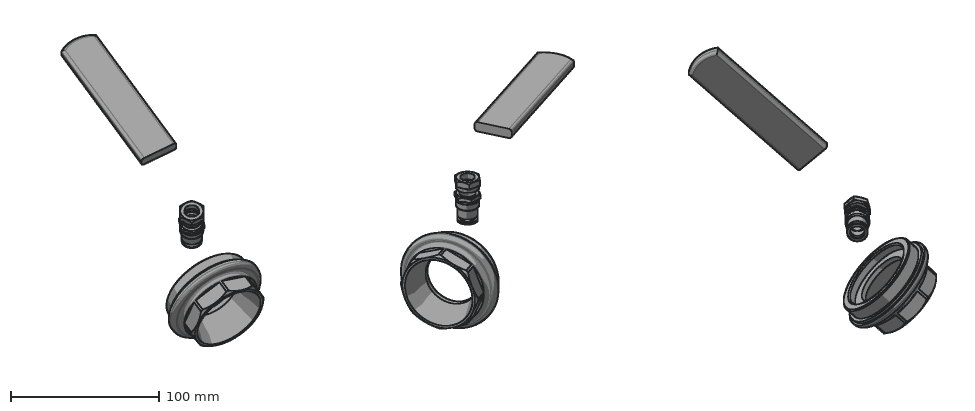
import cadquery as cq
import math


lever_left = -153.7
lever_length = 110.3
lever_width = 27.4
lever_thickness = 7.3
lever_top = 82.1
lever_nose_bulge = 4.3
lever_edge_radius = 2.2

stem_bore = 10.0
nut_across_flats = 16.0
nut_chamfer_diameter = 15.5
nut_top = 64.5
nut_bottom = 59.5

lock_washer_diameter = 16.0
lock_washer_bore = 11.0
lock_washer_bottom = 56.5
lock_washer_slit = 0.2

gland_bore = 11.4
gland_turn = 10
gland_top = 52.3
gland_hex_bottom = 49.3
gland_neck_diameter = 14.4
gland_thread_diameter = 16.0
gland_thread_top = 47.2
gland_thread_chamfer = 1.0
gland_bottom = 42.0

packing_diameter = 14.0
packing_bottom = 35.3

thrust_washer_diameter = 14.0
thrust_washer_top = 32.6
thrust_washer_bottom = 31.5

connector_left = 18.0
connector_right = connector_left + 31.0
flow_bore = 38.0
mouth_diameter = 49.7
mouth_land = 0.6
barrel_diameter = 62.5
barrel_chamfer = 0.8
shoulder_left = 27.2
shoulder_diameter = 67.5
flange_left = 29.0
flange_right = 33.9
flange_diameter = 71
flange_edge_radius = 3.0
neck_fillet = 3.0
octagon_corner_diameter = 57.0
octagon_left = 38.1
octagon_across_flats = 53.3
octagon_end_chamfer = 1.8

seat_diameter = 50.5
seat_mouth_chamfer = 1.0
seat_depth = 5.9
seat_thickness = 3.6


def disc(diameter, bottom, top):
    """Solid cylinder on the stem axis."""
    return cq.Workplane("XY").workplane(offset=bottom).circle(diameter / 2).extrude(top - bottom)


def ring(diameter, bore, bottom, top):
    """Plain ring on the stem axis."""
    return disc(diameter, bottom, top).cut(disc(bore, bottom, top))


def chamfered_hexagon(bottom, top, turn):
    """Hexagon on the stem axis whose top corners are cut by a 30 degree cone; a corner points to +Y."""
    corner_diameter = nut_across_flats / math.cos(math.pi / 6)
    corner_radius = corner_diameter / 2
    height = top - bottom
    hexagon = (
        cq.Workplane("XY").workplane(offset=bottom)
        .polygon(6, corner_diameter).extrude(height)
        .rotate((0, 0, 0), (0, 0, 1), 90 + turn)
    )
    cone_run = corner_radius - nut_chamfer_diameter / 2
    cone_drop = cone_run * math.tan(math.pi / 6)
    envelope = disc(corner_diameter, bottom, top).faces(">Z").chamfer(cone_drop, cone_run)
    return hexagon.intersect(envelope)


def make_lever():
    right = lever_left + lever_length
    nose_corner = lever_left + lever_nose_bulge
    half_width = lever_width / 2
    return (
        cq.Workplane("XY").workplane(offset=lever_top - lever_thickness)
        .moveTo(right, -half_width)
        .lineTo(right, half_width)
        .lineTo(nose_corner, half_width)
        .threePointArc((lever_left, 0), (nose_corner, -half_width))
        .close()
        .extrude(lever_thickness)
        .faces("<Z or >Z").edges("not >X")
        .fillet(lever_edge_radius)
    )


def make_lever_nut():
    hexagon = chamfered_hexagon(nut_bottom, nut_top, 0)
    return hexagon.cut(disc(stem_bore, nut_bottom, nut_top))


def make_lock_washer():
    washer = ring(lock_washer_diameter, lock_washer_bore, lock_washer_bottom, nut_bottom)
    slit_length = lock_washer_diameter
    slit = (
        cq.Workplane("XY").workplane(offset=lock_washer_bottom)
        .center(-slit_length / 2, 0)
        .rect(slit_length, lock_washer_slit)
        .extrude(nut_bottom - lock_washer_bottom)
    )
    return washer.cut(slit)


def make_gland_nut():
    head = chamfered_hexagon(gland_hex_bottom, gland_top, gland_turn)
    neck = disc(gland_neck_diameter, gland_thread_top, gland_hex_bottom)
    thread = disc(gland_thread_diameter, gland_bottom, gland_thread_top)
    thread = thread.faces("<Z").chamfer(gland_thread_chamfer)
    return head.union(neck).union(thread).cut(disc(gland_bore, gland_bottom, gland_top))


def make_packing():
    return ring(packing_diameter, stem_bore, packing_bottom, gland_bottom)


def make_thrust_washer():
    return ring(thrust_washer_diameter, stem_bore, thrust_washer_bottom, thrust_washer_top)


def flow_disc(diameter, left, right):
    """Solid cylinder on the flow axis."""
    return cq.Workplane("YZ").workplane(offset=left).circle(diameter / 2).extrude(right - left)


def octagon_flats():
    """Material to remove so that the round end of the connector becomes an octagon, corners on Y and Z."""
    across_corners = octagon_across_flats / math.cos(math.pi / 8)
    length = connector_right - octagon_left
    return (
        cq.Workplane("YZ").workplane(offset=octagon_left)
        .circle(octagon_corner_diameter)
        .polygon(8, across_corners)
        .extrude(length)
    )


def flared_bore():
    """Hollow of the connector: the flow bore widens as a cone from the seat to the mouth."""
    flare_left = connector_left + seat_depth + seat_thickness
    flare_right = connector_right - mouth_land
    bore_radius = flow_bore / 2
    mouth_radius = mouth_diameter / 2
    return (
        cq.Workplane("XY")
        .moveTo(connector_left, 0)
        .lineTo(connector_left, bore_radius)
        .lineTo(flare_left, bore_radius)
        .lineTo(flare_right, mouth_radius)
        .lineTo(connector_right, mouth_radius)
        .lineTo(connector_right, 0)
        .close()
        .revolve(360, (0, 0, 0), (1, 0, 0))
    )


def make_connector():
    barrel = flow_disc(barrel_diameter, connector_left, shoulder_left).faces("<X").chamfer(barrel_chamfer)
    shoulder = flow_disc(shoulder_diameter, shoulder_left, flange_left)
    flange = flow_disc(flange_diameter, flange_left, flange_right).faces(">X").edges().fillet(flange_edge_radius)
    wrench_end = (
        flow_disc(octagon_corner_diameter, flange_right, connector_right)
        .faces(">X").chamfer(octagon_end_chamfer)
        .cut(octagon_flats())
    )
    body = barrel.union(shoulder).union(flange).union(wrench_end)
    neck_corner = cq.selectors.BoxSelector(
        (flange_right - 0.2, -flange_diameter, -flange_diameter),
        (flange_right + 0.2, flange_diameter, flange_diameter),
    )
    body = body.edges(neck_corner).edges(cq.selectors.RadiusNthSelector(0)).fillet(neck_fillet)
    recess = flow_disc(seat_diameter, connector_left, connector_left + seat_depth + seat_thickness)
    body = body.cut(flared_bore()).cut(recess)
    return body.faces("<X").edges(cq.selectors.RadiusNthSelector(0)).chamfer(seat_mouth_chamfer)


def make_seat():
    left = connector_left + seat_depth
    right = left + seat_thickness
    return flow_disc(seat_diameter, left, right).cut(flow_disc(flow_bore, left, right))


lever = make_lever()
lever_nut = make_lever_nut()
lock_washer = make_lock_washer()
gland_nut = make_gland_nut()
packing = make_packing()
thrust_washer = make_thrust_washer()
connector = make_connector()
seat = make_seat()

result = cq.Compound.makeCompound([
    lever.val(),
    lever_nut.val(),
    lock_washer.val(),
    gland_nut.val(),
    packing.val(),
    thrust_washer.val(),
    connector.val(),
    seat.val(),
])